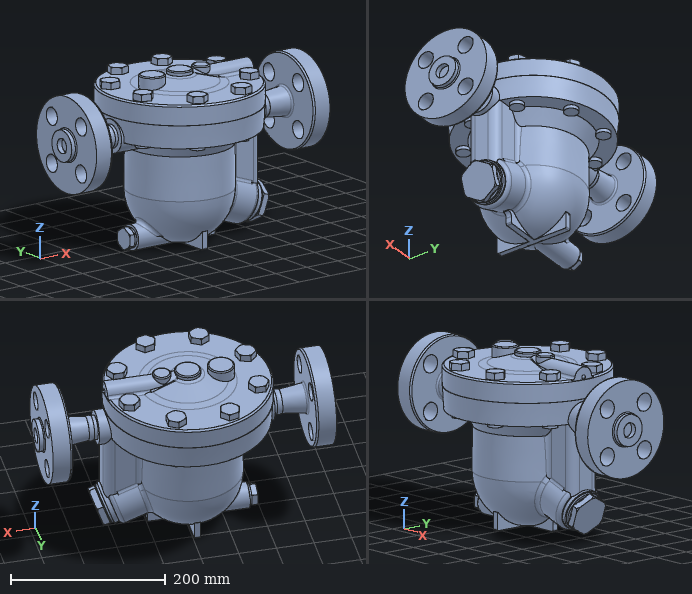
import cadquery as cq
import math


length = 392.0
height = 231.3
pipe_mid_x = 6.0
pipe_axis_z = 159.0

body_radius = 72.5
dome_centre_z = body_radius
shoulder_bottom_z = 132.5
shoulder_bottom_radius = 71.7
shoulder_top_radius = 84.5
body_flange_bottom_z = 154.0
body_flange_bottom_radius = 109.0
body_flange_top_radius = 110.5
joint_z = 185.5

cover_radius = 111.0
cover_top_z = 213.0
cover_chamfer = 2.5
cover_dome_radius = 64.0
cover_cone_base_radius = 52.5
cover_cone_base_z = 215.0
cover_cone_top_radius = 22.0
cover_cone_top_z = 223.5
boss_chamfer = 1.5
centre_boss_diameter = 34.0
centre_boss_waist_z = 225.5
left_boss_diameter = 35.0
left_boss_x = -44.3
right_boss_diameter = 24.0
right_boss_x = 34.5

passage_end_radius = 110.5
passage_width = 28.0
passage_top_z = 227.8
passage_root_fillet = 4.0
skirt_top_x = 15.5
skirt_top_root = 12.5
skirt_top_half_width = 7.5
skirt_top_height = 2.5
passage_tip_diameter = 6.3
passage_tip_base_x = 110.0
passage_tip_length = 4.5
passage_tip_rise = 1.5

bolt_count = 8
bolt_circle_radius = 93.0
bolt_head_flats = 24.0
bolt_head_height = 9.5
bolt_head_chamfer = 1.0
bolt_end_diameter = 20.0
bolt_end_z = 149.0

pipe_boss_diameter = 46.0
pipe_boss_end = 117.0
neck_diameter = 32.0
weld_start = 121.5
weld_end = 128.5
weld_diameter = 34.0
neck_taper_end = 159.5
neck_large_diameter = 39.5
neck_fillet = 2.5
flange_back = neck_taper_end + neck_fillet
flange_front = 188.5
flange_diameter = 130.0
flange_chamfer = 1.5
flange_chamfer_length = 2.7
raised_face_base_diameter = 46.0
raised_face_diameter = 42.7
raised_face_taper = 1.5
bore_diameter = 20.0
flange_hole_diameter = 24.0
flange_hole_circle_radius = 44.5
flange_hole_count = 4

rib_half_width = 23.5
rib_end_x = 115.0
rib_corner_radius = 13.0
rib_bottom_z = 58.8
rib_root_fillet = 9.5
rib_to_strainer_fillet = 6.3
rib_to_strainer_end = 96.0

strainer_tilt = 19.5
strainer_axis_z = 75.3
strainer_boss_radius = 34.0
strainer_boss_start = 31.5
strainer_boss_end = 109.0
strainer_boss_fillet = 6.3
strainer_root_fillet = 8.0
strainer_collar_diameter = 58.0
strainer_collar_end = 115.5
strainer_washer_diameter = 54.0
strainer_washer_end = 118.8
strainer_neck_diameter = 47.0
strainer_neck_end = 120.5
strainer_hex_flats = 49.5
strainer_hex_end = 129.8
strainer_hex_chamfer = 2.0

drain_diameter = 35.0
drain_axis_z = drain_diameter / 2
drain_face_x = -79.0
drain_collar_diameter = 27.5
drain_hex_start_x = -82.5
drain_hex_end_x = -90.5
drain_hex_flats = 27.0
drain_hex_chamfer = 1.0
drain_root_fillet = 4.7

foot_thickness = 8.2
foot_height = 24.5
cross_foot_width = 110.0
long_foot_end_x = 54.5
long_foot_arc_start_z = 10.0
long_foot_arc_radius = 6.3
foot_corner_radius = 2.0


def hexagon(plane, flats, depth, turn, chamfer):
    """Hexagon head along the plane normal; turn = 0 puts a corner on the local x axis."""
    corner_diameter = flats / math.cos(math.pi / 6)
    prism = (
        cq.Workplane(plane)
        .transformed(rotate=(0, 0, turn))
        .polygon(6, corner_diameter)
        .extrude(depth)
    )
    turned = cq.Workplane(plane).circle(corner_diameter / 2).extrude(depth)
    return prism.intersect(turned.faces(cq.selectors.DirectionMinMaxSelector(plane.zDir)).chamfer(chamfer))


def cylinder_along(plane, diameter, start, end):
    return cq.Workplane(plane).workplane(offset=start).circle(diameter / 2).extrude(end - start)


def make_vessel_shell():
    diagonal = body_radius * math.sqrt(0.5)
    outline = (
        cq.Workplane("XZ")
        .moveTo(0, 0)
        .threePointArc((diagonal, dome_centre_z - diagonal), (body_radius, dome_centre_z))
        .lineTo(shoulder_bottom_radius, shoulder_bottom_z)
        .lineTo(shoulder_top_radius, body_flange_bottom_z)
        .lineTo(body_flange_bottom_radius, body_flange_bottom_z)
        .lineTo(body_flange_top_radius, joint_z)
        .lineTo(0, joint_z)
        .close()
    )
    return outline.revolve(360, (0, 0, 0), (0, 1, 0))


def make_vessel():
    """Vessel with the strainer and drain bosses blended into its dome."""
    axis = make_strainer_plane()
    strainer_boss = (
        cylinder_along(axis, 2 * strainer_boss_radius, strainer_boss_start, strainer_boss_end)
        .faces(cq.selectors.DirectionMinMaxSelector(axis.zDir))
        .fillet(strainer_boss_fillet)
    )
    drain_boss = (
        cq.Workplane("YZ", origin=(drain_face_x, 0, drain_axis_z))
        .circle(drain_diameter / 2)
        .extrude(-drain_face_x)
    )
    above_axis = cq.Workplane("XY").workplane(offset=drain_axis_z).rect(length, length).extrude(height)
    upper_half = drain_boss.intersect(above_axis)
    vessel = blend(make_vessel_shell().union(strainer_boss), 0, strainer_boss_end, strainer_root_fillet)
    vessel = blend(vessel.union(upper_half), drain_face_x, 0, drain_root_fillet)
    return vessel.union(drain_boss)


def blend(body, x_min, x_max, radius):
    """Fillet the free-form seams whose centres lie between x_min and x_max."""
    seams = body.edges("%BSPLINE").filter(lambda edge: x_min < edge.Center().x < x_max)
    return seams.fillet(radius)


def make_cover():
    plate = (
        cq.Workplane("XY")
        .workplane(offset=joint_z)
        .circle(cover_radius)
        .extrude(cover_top_z - joint_z)
        .faces(">Z")
        .chamfer(cover_chamfer)
    )
    cover = plate.union(make_crown()).union(make_passage()).union(make_passage_skirt())
    for x, diameter in ((left_boss_x, left_boss_diameter), (right_boss_x, right_boss_diameter)):
        boss = (
            cq.Workplane("XY", origin=(x, 0, joint_z))
            .circle(diameter / 2)
            .extrude(height - joint_z)
            .faces(">Z")
            .chamfer(boss_chamfer)
        )
        cover = cover.union(boss)
    return cover


def make_crown():
    """Shallow cone in the middle of the cover, with the centre boss on top."""
    centre_boss_radius = centre_boss_diameter / 2
    return (
        cq.Workplane("XZ")
        .moveTo(0, joint_z)
        .lineTo(cover_dome_radius, joint_z)
        .lineTo(cover_dome_radius, cover_top_z)
        .lineTo(cover_cone_base_radius, cover_cone_base_z)
        .lineTo(cover_cone_top_radius, cover_cone_top_z)
        .lineTo(centre_boss_radius, centre_boss_waist_z)
        .lineTo(centre_boss_radius, height - boss_chamfer)
        .lineTo(centre_boss_radius - boss_chamfer, height)
        .lineTo(0, height)
        .close()
        .revolve(360, (0, 0, 0), (0, 1, 0))
    )


def make_passage():
    """Round-topped ridge with filleted roots, ending just inside the cover rim, plus a small pointed tip."""
    half = passage_width / 2
    root = half + passage_root_fillet
    root_z = cover_top_z + passage_root_fillet
    arc_mid_y = root - passage_root_fillet * math.sqrt(0.5)
    arc_mid_z = root_z - passage_root_fillet * math.sqrt(0.5)
    ridge = (
        cq.Workplane("YZ")
        .moveTo(-root, joint_z)
        .lineTo(-root, cover_top_z)
        .threePointArc((-arc_mid_y, arc_mid_z), (-half, root_z))
        .threePointArc((0, passage_top_z), (half, root_z))
        .threePointArc((arc_mid_y, arc_mid_z), (root, cover_top_z))
        .lineTo(root, joint_z)
        .close()
        .extrude(length / 2)
    )
    rim = cq.Workplane("XY").workplane(offset=joint_z).circle(passage_end_radius).extrude(height - joint_z)
    tip = cq.Solid.makeCone(
        passage_tip_diameter / 2,
        0,
        passage_tip_length,
        cq.Vector(passage_tip_base_x, 0, cover_top_z + passage_tip_rise),
        cq.Vector(1, 0, 0),
    )
    return ridge.intersect(rim).union(cq.Workplane(tip))


def make_passage_skirt():
    """Sloping root of the passage that narrows as it climbs the cone to the centre boss."""
    half = passage_width / 2
    root = half + passage_root_fillet
    return (
        cq.Workplane("YZ", origin=(cover_cone_base_radius, 0, 0))
        .polyline(
            [
                (-root, cover_top_z),
                (root, cover_top_z),
                (half, cover_top_z + passage_root_fillet),
                (-half, cover_top_z + passage_root_fillet),
            ]
        )
        .close()
        .workplane(offset=skirt_top_x - cover_cone_base_radius)
        .polyline(
            [
                (-skirt_top_root, cover_cone_top_z),
                (skirt_top_root, cover_cone_top_z),
                (skirt_top_half_width, cover_cone_top_z + skirt_top_height),
                (-skirt_top_half_width, cover_cone_top_z + skirt_top_height),
            ]
        )
        .close()
        .loft(ruled=True)
    )


def make_bolts():
    """Cover bolt heads, with the stud ends showing under the body flange."""
    bolts = cq.Workplane("XY")
    spacing = 360 / bolt_count
    for index in range(bolt_count):
        angle = spacing * (index + 0.5)
        x = bolt_circle_radius * math.cos(math.radians(angle))
        y = bolt_circle_radius * math.sin(math.radians(angle))
        seat = cq.Plane(origin=(x, y, cover_top_z))
        head = hexagon(seat, bolt_head_flats, bolt_head_height, angle + spacing / 2, bolt_head_chamfer)
        shank = cylinder_along(seat, bolt_end_diameter, bolt_end_z - cover_top_z, 0)
        bolts = bolts.union(head).union(shank)
    return bolts


def make_nozzle():
    """Right-hand pipe boss, weld bead, tapered neck and flange, without holes."""
    neck_radius = neck_diameter / 2
    neck_large_radius = neck_large_diameter / 2
    flange_radius = flange_diameter / 2
    pipe_end = length / 2
    fillet_mid = neck_fillet * (1 - math.sqrt(0.5))
    return (
        cq.Workplane("XZ", origin=(pipe_mid_x, 0, pipe_axis_z))
        .moveTo(0, 0)
        .lineTo(0, pipe_boss_diameter / 2)
        .lineTo(pipe_boss_end, pipe_boss_diameter / 2)
        .lineTo(pipe_boss_end, neck_radius)
        .lineTo(weld_start, neck_radius)
        .threePointArc(((weld_start + weld_end) / 2, weld_diameter / 2), (weld_end, neck_radius))
        .lineTo(neck_taper_end, neck_large_radius)
        .threePointArc(
            (flange_back - fillet_mid, neck_large_radius + fillet_mid),
            (flange_back, neck_large_radius + neck_fillet),
        )
        .lineTo(flange_back, flange_radius - flange_chamfer)
        .lineTo(flange_back + flange_chamfer_length, flange_radius)
        .lineTo(flange_front, flange_radius)
        .lineTo(flange_front, raised_face_base_diameter / 2)
        .lineTo(flange_front + raised_face_taper, raised_face_diameter / 2)
        .lineTo(pipe_end, raised_face_diameter / 2)
        .lineTo(pipe_end, 0)
        .close()
        .revolve(360, (0, 0, 0), (1, 0, 0))
    )


def make_nozzle_holes():
    """Right-hand blind pipe bore, as deep as the raised face, and the flange bolt holes."""
    pipe_plane = cq.Plane(origin=(pipe_mid_x, 0, pipe_axis_z), xDir=(0, 1, 0), normal=(1, 0, 0))
    bore = cylinder_along(pipe_plane, bore_diameter, flange_front, length / 2)
    bolt_holes = (
        cq.Workplane(pipe_plane)
        .workplane(offset=flange_back)
        .polarArray(flange_hole_circle_radius, 180 / flange_hole_count, 360, flange_hole_count)
        .circle(flange_hole_diameter / 2)
        .extrude(flange_front - flange_back)
    )
    return bore.union(bolt_holes)


def mirrored_pair(shape):
    """The shape and its mirror image about the middle of the pipe."""
    return shape.union(shape.mirror("YZ", (pipe_mid_x, 0, 0)))


def filleted_web(base, drum_radius, fillet_radius, web_end, depth):
    """Web along local x, as wide as the rib, with fillets where it leaves a drum about the origin."""
    root_centre_y = rib_half_width + fillet_radius
    root_centre_x = math.sqrt((drum_radius + fillet_radius) ** 2 - root_centre_y**2)
    wall_ratio = drum_radius / (drum_radius + fillet_radius)
    wall_x = root_centre_x * wall_ratio
    wall_y = root_centre_y * wall_ratio
    toward_wall = math.atan2(-root_centre_y, -root_centre_x)
    middle = (toward_wall - math.pi / 2) / 2
    mid_x = root_centre_x + fillet_radius * math.cos(middle)
    mid_y = root_centre_y + fillet_radius * math.sin(middle)
    return (
        base.moveTo(0, -wall_y)
        .lineTo(wall_x, -wall_y)
        .threePointArc((mid_x, -mid_y), (root_centre_x, -rib_half_width))
        .lineTo(web_end, -rib_half_width)
        .lineTo(web_end, rib_half_width)
        .lineTo(root_centre_x, rib_half_width)
        .threePointArc((mid_x, mid_y), (wall_x, wall_y))
        .lineTo(0, wall_y)
        .close()
        .extrude(depth)
    )


def make_outlet_rib():
    """Vertical rib with rounded outer corners, filleted to the vessel wall and the strainer boss."""
    wall_base = cq.Workplane("XY").workplane(offset=rib_bottom_z)
    rib = filleted_web(wall_base, shoulder_bottom_radius, rib_root_fillet, rib_end_x, pipe_axis_z - rib_bottom_z)
    rib = rib.edges("|Z and >X").fillet(rib_corner_radius)
    boss_base = cq.Workplane(make_strainer_plane()).workplane(offset=strainer_boss_start)
    blend_depth = rib_to_strainer_end - strainer_boss_start
    boss_blend = filleted_web(
        boss_base, strainer_boss_radius, rib_to_strainer_fillet, strainer_boss_radius, blend_depth
    )
    return rib.union(boss_blend)


def make_strainer_plane():
    tilt = math.radians(strainer_tilt)
    return cq.Plane(
        origin=(0, 0, strainer_axis_z),
        xDir=(math.sin(tilt), 0, math.cos(tilt)),
        normal=(math.cos(tilt), 0, -math.sin(tilt)),
    )


def make_strainer_plug():
    axis = make_strainer_plane()
    collar = cylinder_along(axis, strainer_collar_diameter, strainer_boss_end, strainer_collar_end)
    washer = cylinder_along(axis, strainer_washer_diameter, strainer_collar_end, strainer_washer_end)
    neck = cylinder_along(axis, strainer_neck_diameter, strainer_washer_end, strainer_neck_end)
    seat = cq.Plane(origin=axis.toWorldCoords((0, 0, strainer_neck_end)), xDir=axis.xDir, normal=axis.zDir)
    head = hexagon(seat, strainer_hex_flats, strainer_hex_end - strainer_neck_end, 0, strainer_hex_chamfer)
    return collar.union(washer).union(neck).union(head)


def make_drain_plug():
    seat = cq.Plane(origin=(drain_hex_start_x, 0, drain_axis_z), xDir=(0, 0, 1), normal=(-1, 0, 0))
    head = hexagon(seat, drain_hex_flats, drain_hex_start_x - drain_hex_end_x, 0, drain_hex_chamfer)
    collar = cylinder_along(seat, drain_collar_diameter, drain_hex_start_x - drain_face_x, 0)
    return head.union(collar)


def make_feet():
    """Cross foot along Y and long foot along X that runs up into the strainer boss."""
    cross_foot = (
        cq.Workplane("XY")
        .box(foot_thickness, cross_foot_width, foot_height, centered=(True, True, False))
        .edges("|X and <Z")
        .fillet(foot_corner_radius)
    )
    arc_mid = long_foot_arc_radius * (1 - math.sqrt(0.5))
    arc_end_x = long_foot_end_x + long_foot_arc_radius
    arc_end_z = long_foot_arc_start_z + long_foot_arc_radius
    long_foot = (
        cq.Workplane("XZ")
        .moveTo(0, 0)
        .lineTo(long_foot_end_x, 0)
        .lineTo(long_foot_end_x, long_foot_arc_start_z)
        .threePointArc((long_foot_end_x + arc_mid, arc_end_z - arc_mid), (arc_end_x, arc_end_z))
        .lineTo(arc_end_x, foot_height)
        .lineTo(0, foot_height)
        .close()
        .extrude(foot_thickness / 2, both=True)
        .faces("<Z")
        .edges(">X")
        .fillet(foot_corner_radius)
    )
    return cross_foot.union(long_foot)


result = (
    make_vessel()
    .union(make_outlet_rib())
    .union(make_strainer_plug())
    .union(make_drain_plug())
    .union(make_feet())
    .union(make_cover())
    .union(make_bolts())
    .union(mirrored_pair(make_nozzle()))
    .cut(mirrored_pair(make_nozzle_holes()))
)